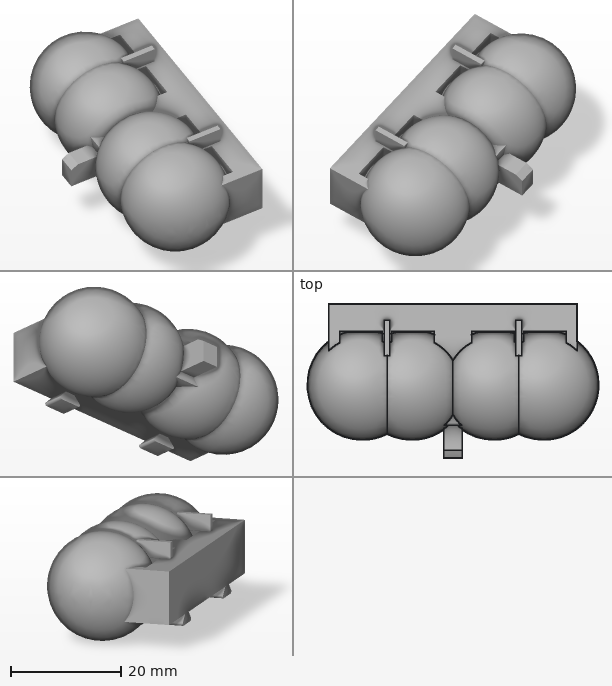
import cadquery as cq


ball_radius = 10.0
pair_center = 11.95
ball_offset = 4.5
outer_ball_x = pair_center + ball_offset
inner_ball_x = pair_center - ball_offset

block_length = 45.15
block_half_height = 5.0
block_back = 14.7
nose_front = -7.35
nose_length = 2 * outer_ball_x
slope_start = -1.0
slope_end = -7.1
slope_end_z = 3.45

pocket_offset = 4.7
pocket_width = 7.75
pocket_back = 9.75
pocket_floor = -pocket_width / 2
peg_radius = 3.0
peg_tip = 5.0

fin_thickness = 1.05
fin_front = 5.3
fin_back = 11.75
fin_top = 8.05

bar_width = 3.4
bar_bottom = -3.45
bar_top = 1.5
bar_tip = -13.3
bar_slope_y = -11.85
bar_tip_top = 0.65

foot_front = 10.8
foot_bottom = -6.95
foot_edge_z = -6.45
foot_neck = 2.1

ball_xs = [side * x for side in (-1, 1) for x in (inner_ball_x, outer_ball_x)]
pair_xs = [-pair_center, pair_center]


def box(x_range, y_range, z_range):
    """Box spanning the given (low, high) ranges."""
    spans = (x_range, y_range, z_range)
    sizes = [high - low for low, high in spans]
    middle = tuple((high + low) / 2 for low, high in spans)
    return cq.Workplane("XY").box(*sizes).translate(middle)


def sphere(x):
    """Full ball with its poles along Y."""
    return cq.Workplane("XZ").sphere(ball_radius).translate((x, 0, 0))


def peg(x):
    """Round peg on the pocket wall, reaching into the ball."""
    root = ball_radius
    return cq.Workplane("XZ", origin=(x, root, 0)).circle(peg_radius).extrude(root - peg_tip)


def drawbar():
    """Flat bar from the pocket wall plane to the tip, its top sloped at the tip."""
    outline = [
        (pocket_back, bar_bottom),
        (bar_tip, bar_bottom),
        (bar_tip, bar_tip_top),
        (bar_slope_y, bar_top),
        (pocket_back, bar_top),
    ]
    return cq.Workplane("YZ").polyline(outline).close().extrude(bar_width / 2, both=True)


def nose():
    """Front part of the block, with a sloping top that ends in a narrow flat."""
    outline = [
        (0, -block_half_height),
        (nose_front, -block_half_height),
        (nose_front, slope_end_z),
        (slope_end, slope_end_z),
        (slope_start, block_half_height),
        (0, block_half_height),
    ]
    return cq.Workplane("YZ").polyline(outline).close().extrude(nose_length / 2, both=True)


def pocket(x):
    """Pocket behind one ball, open at the top of the block."""
    half = pocket_width / 2
    return box((x - half, x + half), (0, pocket_back), (pocket_floor, block_half_height))


def fin(x):
    """Thin upright plate on top of the block."""
    half = fin_thickness / 2
    return box((x - half, x + half), (fin_front, fin_back), (0, fin_top))


def foot(x):
    """Dovetail foot: sides flare at 45 degrees, lower edges are rounded."""
    top = -block_half_height
    half_neck = foot_neck / 2
    half_wide = half_neck + top - foot_edge_z
    edge_radius = foot_edge_z - foot_bottom
    diagonal = edge_radius * (1 - 0.5 ** 0.5)
    half_flat = half_wide - edge_radius
    return (
        cq.Workplane("XZ", origin=(x, block_back, 0))
        .moveTo(-half_neck, top)
        .lineTo(-half_wide, foot_edge_z)
        .threePointArc((-half_wide + diagonal, foot_bottom + diagonal), (-half_flat, foot_bottom))
        .lineTo(half_flat, foot_bottom)
        .threePointArc((half_wide - diagonal, foot_bottom + diagonal), (half_wide, foot_edge_z))
        .lineTo(half_neck, top)
        .close()
        .extrude(block_back - foot_front)
    )


def make_housing():
    """Block with nose, fins and feet, recessed for the balls, plus pegs and drawbar."""
    half_length = block_length / 2
    body = box((-half_length, half_length), (0, block_back), (-block_half_height, block_half_height))
    body = body.union(nose())
    for pair_x in pair_xs:
        for side in (-1, 1):
            body = body.cut(pocket(pair_x + side * pocket_offset))
        body = body.union(fin(pair_x)).union(foot(pair_x))
    for x in ball_xs:
        body = body.cut(sphere(x))
    for x in ball_xs:
        body = body.union(peg(x))
    return body.union(drawbar())


def make_ball(x):
    """Ball trimmed flat where it meets its neighbours, bored for its peg and slotted for the drawbar."""
    side = 1 if x > 0 else -1
    is_outer = abs(x) > pair_center
    near = pair_center if is_outer else 0
    far = outer_ball_x + ball_radius if is_outer else pair_center
    x_range = sorted((side * near, side * far))
    yz_range = (-ball_radius, ball_radius)
    ball = sphere(x).intersect(box(x_range, yz_range, yz_range))
    return ball.cut(peg(x)).cut(drawbar())


housing = make_housing()
balls = [make_ball(x) for x in ball_xs]

result = cq.Compound.makeCompound([
    housing.solids().val(),
    *[ball.solids().val() for ball in balls],
])